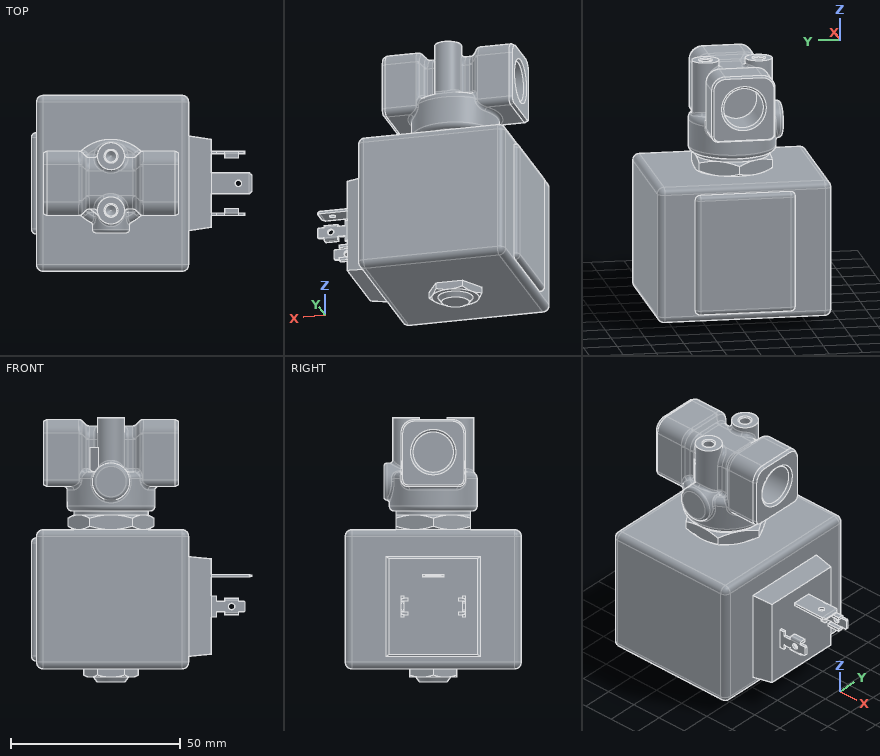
import cadquery as cq
import math


COIL_LEFT, COIL_RIGHT = -22.0, 22.95
COIL_WIDTH = 52.0
COIL_HEIGHT = 41.15
COIL_ROUND = 2.0
COVER_THICKNESS = 1.5
COVER_WIDTH = 30.0
COVER_BOTTOM, COVER_TOP = 2.3, 38.75

PLUG_LENGTH = 6.65
PLUG_WIDTH, PLUG_HEIGHT = 28.0, 29.5
PLUG_END_WIDTH, PLUG_END_HEIGHT = 26.0, 28.2
PLUG_Z = 18.45
PLUG_END = COIL_RIGHT + PLUG_LENGTH
BLADE_THICKNESS = 0.8
BLADE_WIDTH = 6.3
BLADE_HOLE = 1.8
BLADE_ROOT = 1.0
EARTH_TIP = 41.65
EARTH_Z = 27.5
EARTH_HOLE_X = 37.6
EARTH_BEVEL = 1.0
EARTH_TIP_THICKNESS = 0.3
EARTH_CORNER = 0.8
SIDE_BLADE_Y = 9.1
SIDE_BLADE_TIP = 39.6
SIDE_BLADE_CORNER = 0.3
SHOULDER_LENGTH = 1.6
NARROW_WIDTH = 3.2
WING_SPAN = 4.9
WING_LENGTH = 4.1
WING_REACH = 1.3
WING_BEND = 0.75
SIDE_HOLE_X = 35.6

LOWER_NUT_FLATS = 14.0
LOWER_NUT_HEIGHT = 2.4
STUD_ROOT_RADIUS, STUD_TIP_RADIUS = 5.2, 4.1
STUD_LENGTH = 3.85

HEX_FLATS = 22.0
HEX_HEIGHT = 4.35
NECK_RADIUS = 11.0
COLLAR_RADIUS = 13.0
COLLAR_BOTTOM = 46.6
COLLAR_TOP = 58.2
COLLAR_LOWER_ROUND = 1.5
COLLAR_UPPER_ROUND = 2.0
HEX_BEVEL_ANGLE = 30.0

HEAD_END = 19.95
HEAD_INNER = 7.0
HEAD_WIDTH = 19.0
HEAD_BOTTOM, HEAD_TOP = 53.85, 73.65
HEAD_UPPER_ROUND, HEAD_LOWER_ROUND = 4.0, 2.0
HEAD_BEVEL_LENGTH, HEAD_BEVEL_WIDTH = 1.0, 0.5
WEB_WIDTH = 15.2
WEB_TOP = 71.75
SHOULDER_ROUND = 1.3
HEAD_SHOULDER = HEAD_TOP - WEB_TOP
PORT_Z = 64.0
PORT_BORE = 11.9
PORT_MOUTH = 13.4
PORT_DEPTH = 12.0

PILLAR_Y = 8.0
PILLAR_RADIUS = 4.0
PILLAR_TOP = 74.2
SCREW_BORE = 3.4
SCREW_MOUTH = 4.1
SCREW_DEPTH = 8.0
DRILL_POINT_ANGLE = 118.0
BOSS_RADIUS = 5.5
BOSS_Z = 55.3
BOSS_FACE = -14.6
BOSS_ROUND = 1.0

SEAM_ROUND = 1.0
BOSS_SEAM_ROUND = 0.8
GUSSET_START, GUSSET_END = 6.2, 3.7
GUSSET_REACH = 9.5
GUSSET_TOP = 65.4


def block(x_range, y_range, z_range):
    size = [high - low for low, high in (x_range, y_range, z_range)]
    corner = (x_range[0], y_range[0], z_range[0])
    return cq.Workplane("XY").box(*size, centered=False).translate(corner)


def cylinder(radius, bottom, top):
    return cq.Workplane("XY").workplane(offset=bottom).circle(radius).extrude(top - bottom)


def cone(lower_radius, upper_radius, bottom, top):
    profile = [(0, bottom), (lower_radius, bottom), (upper_radius, top), (0, top)]
    return cq.Workplane("XZ").polyline(profile).close().revolve(360, (0, 0), (0, 1))


def coil():
    half = COIL_WIDTH / 2
    housing = block((COIL_LEFT, COIL_RIGHT), (-half, half), (0, COIL_HEIGHT)).edges().fillet(COIL_ROUND)
    cover = block(
        (COIL_LEFT - COVER_THICKNESS, COIL_LEFT + COIL_ROUND),
        (-COVER_WIDTH / 2, COVER_WIDTH / 2),
        (COVER_BOTTOM, COVER_TOP),
    )
    cover = cover.edges("<X or |X").fillet(COVER_THICKNESS - 0.01)
    return housing.union(cover)


def plug_base():
    return (
        cq.Workplane("YZ", origin=(COIL_RIGHT, 0, PLUG_Z))
        .rect(PLUG_WIDTH, PLUG_HEIGHT)
        .workplane(offset=PLUG_LENGTH)
        .rect(PLUG_END_WIDTH, PLUG_END_HEIGHT)
        .loft(ruled=True)
        .union(
            block(
                (COIL_RIGHT - COIL_ROUND, COIL_RIGHT),
                (-PLUG_WIDTH / 2, PLUG_WIDTH / 2),
                (PLUG_Z - PLUG_HEIGHT / 2, PLUG_Z + PLUG_HEIGHT / 2),
            )
        )
    )


def earth_blade():
    half = BLADE_THICKNESS / 2
    tip_half = EARTH_TIP_THICKNESS / 2
    bevel_start = EARTH_TIP - EARTH_BEVEL
    side = [
        (PLUG_END - BLADE_ROOT, -half),
        (bevel_start, -half),
        (EARTH_TIP, -tip_half),
        (EARTH_TIP, tip_half),
        (bevel_start, half),
        (PLUG_END - BLADE_ROOT, half),
    ]
    blade = cq.Workplane("XZ", origin=(0, 0, EARTH_Z)).polyline(side).close().extrude(BLADE_WIDTH / 2, both=True)
    blade = blade.faces(">X").edges("|Z").chamfer(EARTH_CORNER)
    hole = cylinder(BLADE_HOLE / 2, EARTH_Z - BLADE_THICKNESS, EARTH_Z + BLADE_THICKNESS)
    return blade.cut(hole.translate((EARTH_HOLE_X, 0, 0)))


def side_blade(side):
    """Contact blade standing in the XZ plane; its two wings are folded inward. side is +1 or -1."""
    inner = SIDE_BLADE_Y - BLADE_THICKNESS / 2
    outer = SIDE_BLADE_Y + BLADE_THICKNESS / 2
    root = PLUG_END - BLADE_ROOT
    narrow_half = NARROW_WIDTH / 2
    wide_half = BLADE_WIDTH / 2
    blade = block((root, SIDE_BLADE_TIP), (inner, outer), (-narrow_half, narrow_half))
    blade = blade.faces(">X").edges("|Y").chamfer(SIDE_BLADE_CORNER)
    shoulder = block((root, PLUG_END + SHOULDER_LENGTH), (inner, outer), (-wide_half, wide_half))
    wing_x = (SIDE_HOLE_X - WING_LENGTH / 2, SIDE_HOLE_X + WING_LENGTH / 2)
    wings = block(wing_x, (inner - WING_REACH, outer), (-WING_SPAN / 2, WING_SPAN / 2))
    wings = wings.edges("|X and >Y").fillet(WING_BEND)
    wings = wings.cut(block(wing_x, (inner - WING_REACH, inner), (-narrow_half, narrow_half)))
    hole = cq.Workplane("XZ").center(SIDE_HOLE_X, 0).circle(BLADE_HOLE / 2).extrude(-COIL_WIDTH / 2)
    blade = blade.union(shoulder).union(wings).cut(hole).translate((0, 0, PLUG_Z))
    return blade if side > 0 else blade.mirror("XZ")


def bevelled_hexagon(flats, bottom, top, bevel_bottom=True, bevel_top=True):
    """Hexagon with two flats facing Y and its corners bevelled to the circle within the flats."""
    corner_radius = flats / math.sqrt(3)
    hexagon = cq.Workplane("XY").workplane(offset=bottom).polygon(6, 2 * corner_radius).extrude(top - bottom)
    bevel_width = corner_radius - flats / 2
    bevel_depth = bevel_width * math.tan(math.radians(HEX_BEVEL_ANGLE))
    envelope = cylinder(corner_radius, bottom, top)
    if bevel_bottom:
        envelope = envelope.faces("<Z").edges().chamfer(bevel_depth, bevel_width)
    if bevel_top:
        envelope = envelope.faces(">Z").edges().chamfer(bevel_depth, bevel_width)
    return hexagon.intersect(envelope)


def lower_nut():
    nut = bevelled_hexagon(LOWER_NUT_FLATS, -LOWER_NUT_HEIGHT, 0, bevel_top=False)
    stud = cone(STUD_TIP_RADIUS, STUD_ROOT_RADIUS, -STUD_LENGTH, -LOWER_NUT_HEIGHT)
    return nut.union(stud)


def collar():
    hex_top = COIL_HEIGHT + HEX_HEIGHT
    hexagon = bevelled_hexagon(HEX_FLATS, COIL_HEIGHT, hex_top)
    neck = cylinder(NECK_RADIUS, hex_top, COLLAR_BOTTOM)
    ring = cylinder(COLLAR_RADIUS, COLLAR_BOTTOM, COLLAR_TOP)
    ring = ring.faces("<Z").edges().fillet(COLLAR_LOWER_ROUND)
    ring = ring.faces(">Z").edges().fillet(COLLAR_UPPER_ROUND)
    return hexagon.union(neck).union(ring)


def head_profile(x, width, top):
    """Closed outline in the plane at x, with rounded corners and the underside level with the heads."""
    half = width / 2
    upper = HEAD_UPPER_ROUND
    lower = HEAD_LOWER_ROUND
    return (
        cq.Workplane("YZ", origin=(x, 0, 0))
        .moveTo(-half + lower, HEAD_BOTTOM)
        .lineTo(half - lower, HEAD_BOTTOM)
        .radiusArc((half, HEAD_BOTTOM + lower), -lower)
        .lineTo(half, top - upper)
        .radiusArc((half - upper, top), -upper)
        .lineTo(-half + upper, top)
        .radiusArc((-half, top - upper), -upper)
        .lineTo(-half, HEAD_BOTTOM + lower)
        .radiusArc((-half + lower, HEAD_BOTTOM), -lower)
        .close()
    )


def port_head():
    """Head on the -X side with a sloped shoulder down to half of the web."""
    shoulder_x = -HEAD_INNER - HEAD_SHOULDER
    head = head_profile(-HEAD_END, HEAD_WIDTH, HEAD_TOP).extrude(HEAD_END + shoulder_x)
    head = head.faces("<X").edges().chamfer(HEAD_BEVEL_LENGTH, HEAD_BEVEL_WIDTH)
    outer = head_profile(shoulder_x, HEAD_WIDTH, HEAD_TOP).wires().val()
    inner = head_profile(-HEAD_INNER, WEB_WIDTH, WEB_TOP).wires().val()
    shoulder = cq.Workplane(cq.Solid.makeLoft([outer, inner], True))
    web = head_profile(-HEAD_INNER, WEB_WIDTH, WEB_TOP).extrude(HEAD_INNER)
    head = head.union(shoulder).union(web)
    tolerance = 0.01
    for x in (shoulder_x, -HEAD_INNER):
        rim = cq.selectors.BoxSelector(
            (x - tolerance, -HEAD_WIDTH, HEAD_BOTTOM - tolerance),
            (x + tolerance, HEAD_WIDTH, HEAD_TOP + tolerance),
            boundingbox=True,
        )
        head = head.edges(rim).fillet(SHOULDER_ROUND)
    return head


def port_bore():
    bevel = (PORT_MOUTH - PORT_BORE) / 2
    bore = cq.Workplane("YZ", origin=(-HEAD_END, 0, PORT_Z)).circle(PORT_BORE / 2).extrude(PORT_DEPTH)
    mouth = cq.Solid.makeCone(
        PORT_MOUTH / 2, PORT_BORE / 2, bevel, cq.Vector(-HEAD_END, 0, PORT_Z), cq.Vector(1, 0, 0)
    )
    return bore.union(cq.Workplane(mouth))


def screw_bore():
    radius = SCREW_BORE / 2
    bottom = PILLAR_TOP - SCREW_DEPTH
    point = radius / math.tan(math.radians(DRILL_POINT_ANGLE / 2))
    bevel = (SCREW_MOUTH - SCREW_BORE) / 2
    bore = cylinder(radius, bottom, PILLAR_TOP)
    bore = bore.union(cone(0.001, radius, bottom - point, bottom))
    return bore.union(cone(radius, SCREW_MOUTH / 2, PILLAR_TOP - bevel, PILLAR_TOP))


def front_boss():
    boss = cq.Workplane("XZ", origin=(0, 0, BOSS_Z)).circle(BOSS_RADIUS).extrude(-BOSS_FACE)
    return boss.faces("<Y").edges().fillet(BOSS_ROUND)


def fillet_seam(body, point, radius):
    """Round the edge nearest to the point, together with the edges that run on smoothly from it."""
    return body.edges(cq.selectors.NearestToPointSelector(point)).fillet(radius)


def gusset():
    """Wedge filling the corner between the web and the front pillar on the -X side."""
    half = WEB_WIDTH / 2
    outline = [(-GUSSET_START, -half), (-GUSSET_END, -GUSSET_REACH), (-GUSSET_END, -half)]
    return cq.Workplane("XY", origin=(0, 0, COLLAR_BOTTOM + COLLAR_LOWER_ROUND)).polyline(outline).close().extrude(
        GUSSET_TOP - COLLAR_BOTTOM - COLLAR_LOWER_ROUND
    )


def valve_body():
    head = port_head()
    upper = head.union(head.mirror("YZ"))
    for side in (1, -1):
        pillar = cylinder(PILLAR_RADIUS, COLLAR_BOTTOM + COLLAR_UPPER_ROUND, PILLAR_TOP)
        pillar = pillar.rotate((0, 0, 0), (0, 0, 1), side * 90)
        upper = upper.union(pillar.translate((0, side * PILLAR_Y, 0)))
    for side in (1, -1):
        upper = fillet_seam(upper, (PILLAR_RADIUS, side * WEB_WIDTH / 2, PORT_Z), SEAM_ROUND)
    body = collar().union(upper)
    body = fillet_seam(body, (-COLLAR_RADIUS, 0, HEAD_BOTTOM), SEAM_ROUND)
    body = body.union(front_boss())
    body = fillet_seam(body, (0, -COLLAR_RADIUS, BOSS_Z - BOSS_RADIUS), BOSS_SEAM_ROUND)
    body = body.union(gusset())
    for side in (1, -1):
        body = body.cut(screw_bore().translate((0, side * PILLAR_Y, 0)))
    bore = port_bore()
    return body.cut(bore).cut(bore.mirror("YZ"))


result = coil().union(plug_base()).union(earth_blade()).union(lower_nut()).union(valve_body())
for blade_side in (1, -1):
    result = result.union(side_blade(blade_side))